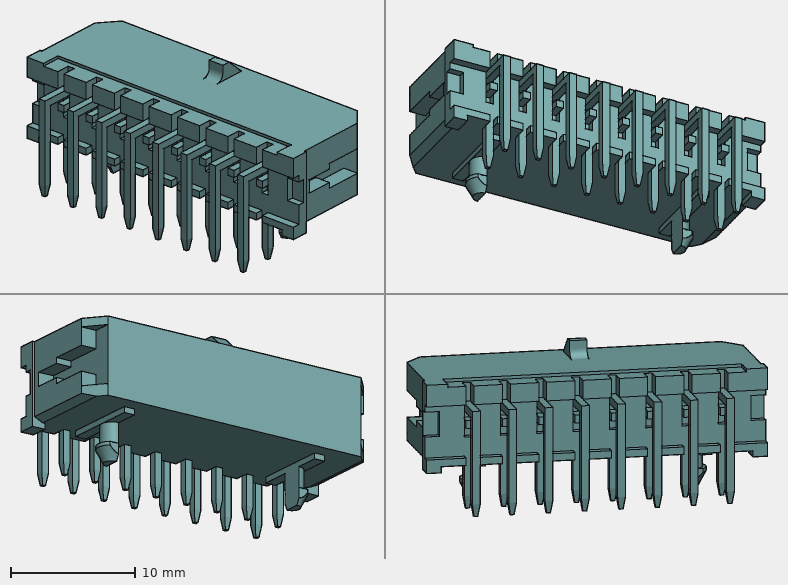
import cadquery as cq
import math

overall_width = 28.15
housing_depth = 9.9
housing_top = 7.32
body_width = 27.75
body_bottom = 0.5
corner_cut_x = 1.44
corner_cut_y = 1.7
bottom_bevel_x = 0.82
bottom_bevel_z = 0.37

flange_depth = 1.63
foot_width = 1.2
wall_setback = 0.7
lip_top = 1.13
bar_bottom = 5.52
ledge_width = 24.65
ledge_depth = 1.8
ledge_drop = 0.25
end_notch_bottom = 2.87
end_notch_top = 4.93
end_notch_depth = 1.3

body_end_y = housing_depth - corner_cut_y
side_recess_steps = [
    (body_end_y, housing_depth, 1.52, 6.6),
    (4.73, body_end_y, 2.8, 5.0),
    (2.22, 4.73, 3.3, 4.5),
]

latch_width = 1.44
latch_ramp_start_y = 9.3
latch_crest_far_y = 7.7
latch_crest_near_y = 6.95
latch_height = 1.4
latch_fillet = 0.73

contact_count = 8
contact_pitch = 2.998
pin_size = 0.65
pin_tip_size = 0.3
pin_taper_length = 1.05
pin_end_z = -3.25
upper_pin_outer_y = -2.35
slot_depth = 1.3
slot_floor = 2.7
stub_bottom = 3.58
stub_top = 4.22

peg_flat_x = 8.87
peg_radius = 0.99
peg_y = 5.32
barb_radius = 1.3
barb_top = -1.77
barb_bottom = -2.08
cone_bottom = -3.05
cone_radius = 0.8
peg_end_radius = 0.7
rail_end_y = 8.5


def box(x_range, y_range, z_range):
    """Axis-aligned block between the given limits."""
    size = [high - low for low, high in (x_range, y_range, z_range)]
    origin = (x_range[0], y_range[0], z_range[0])
    return cq.Workplane("XY").box(*size, centered=False).translate(origin)


def centred(width, middle=0.0):
    """Limits of a span of the given width about its middle."""
    return (middle - width / 2, middle + width / 2)


def mirrored_pair(solid):
    """The solid together with its mirror image across X = 0."""
    return solid.union(solid.mirror("YZ"))


def make_body():
    half = body_width / 2
    plan = (
        cq.Workplane("XY").workplane(offset=body_bottom)
        .moveTo(-half, flange_depth)
        .lineTo(half, flange_depth)
        .lineTo(half, body_end_y)
        .lineTo(half - corner_cut_x, housing_depth)
        .lineTo(corner_cut_x - half, housing_depth)
        .lineTo(-half, body_end_y)
        .close()
        .extrude(housing_top - body_bottom)
    )
    bevel = (
        cq.Workplane("XZ")
        .moveTo(half, body_bottom)
        .lineTo(half, body_bottom + bottom_bevel_z)
        .lineTo(half - bottom_bevel_x, body_bottom)
        .close()
        .extrude(-housing_depth)
    )
    body = plan.cut(mirrored_pair(bevel))
    for near_y, far_y, bottom, top in side_recess_steps:
        recess = box((half - corner_cut_x, half), (near_y, far_y), (bottom, top))
        body = body.cut(mirrored_pair(recess))
    return body


def make_flange():
    half = overall_width / 2
    full_width = (-half, half)
    flange = box(full_width, (0, flange_depth), (body_bottom, housing_top))
    foot = box((half - foot_width, half), (0, flange_depth), (0, body_bottom))
    end_notch = box(
        (half - foot_width, half), (0, end_notch_depth), (end_notch_bottom, end_notch_top)
    )
    wall_recess = box(full_width, (0, wall_setback), (lip_top, bar_bottom))
    return flange.union(mirrored_pair(foot)).cut(wall_recess).cut(mirrored_pair(end_notch))


def make_top_ledge_cut():
    return box(centred(ledge_width), (0, ledge_depth), (housing_top - ledge_drop, housing_top))


def make_latch():
    crest = housing_top + latch_height
    fillet_x = latch_crest_near_y - latch_fillet
    diagonal = latch_fillet * math.cos(math.pi / 4)
    fillet_mid = (fillet_x + diagonal, housing_top + latch_fillet - diagonal)
    return (
        cq.Workplane("YZ").workplane(offset=-latch_width / 2)
        .moveTo(latch_ramp_start_y, housing_top)
        .lineTo(latch_crest_far_y, crest)
        .lineTo(latch_crest_near_y, crest)
        .lineTo(latch_crest_near_y, housing_top + latch_fillet)
        .threePointArc(fillet_mid, (fillet_x, housing_top))
        .close()
        .extrude(latch_width)
    )


def make_contact_slots(x):
    """Slot behind the bar and the gap in the lower lip at one contact position."""
    width = centred(pin_size, x)
    slot = box(width, (0, slot_depth), (slot_floor, housing_top))
    lip_gap = box(width, (0, wall_setback), (body_bottom, lip_top))
    return slot.union(lip_gap)


def make_tail(x, near_y, top):
    """Square vertical pin ending in a tapered tip."""
    taper_top = pin_end_z + pin_taper_length
    shank = box(centred(pin_size, x), (near_y, near_y + pin_size), (taper_top, top))
    tip = (
        cq.Workplane("XY").workplane(offset=taper_top)
        .center(x, near_y + pin_size / 2)
        .rect(pin_size, pin_size)
        .workplane(offset=-pin_taper_length)
        .rect(pin_tip_size, pin_tip_size)
        .loft()
    )
    return shank.union(tip)


def make_contacts(x):
    """Long upper pin, short lower pin and the lower pin's stub at one position."""
    width = centred(pin_size, x)
    leg = box(width, (upper_pin_outer_y, flange_depth), (bar_bottom - pin_size, bar_bottom))
    stub = box(width, (0, flange_depth), (stub_bottom, stub_top))
    upper_tail = make_tail(x, upper_pin_outer_y, bar_bottom)
    lower_tail = make_tail(x, wall_setback, slot_floor)
    return leg.union(stub).union(upper_tail).union(lower_tail)


def make_peg():
    """Half-round barbed peg under its rail, on the +X side."""
    rail = box((peg_flat_x, peg_flat_x + peg_radius), (flange_depth, rail_end_y), (0, body_bottom))
    round_peg = (
        cq.Workplane("XZ")
        .moveTo(0, 0)
        .lineTo(peg_radius, 0)
        .lineTo(peg_radius, barb_top)
        .lineTo(barb_radius, barb_top)
        .lineTo(barb_radius, barb_bottom)
        .lineTo(cone_radius, cone_bottom)
        .lineTo(peg_end_radius, pin_end_z)
        .lineTo(0, pin_end_z)
        .close()
        .revolve(360, (0, 0, 0), (0, 1, 0))
        .translate((peg_flat_x, peg_y, 0))
    )
    envelope = box(
        (peg_flat_x, peg_flat_x + barb_radius), centred(2 * peg_radius, peg_y), (pin_end_z, 0)
    )
    return rail.union(round_peg.intersect(envelope))


result = make_body().union(make_flange()).cut(make_top_ledge_cut()).union(make_latch())
result = result.union(mirrored_pair(make_peg()))
for index in range(contact_count):
    contact_x = (index - (contact_count - 1) / 2) * contact_pitch
    result = result.cut(make_contact_slots(contact_x)).union(make_contacts(contact_x))